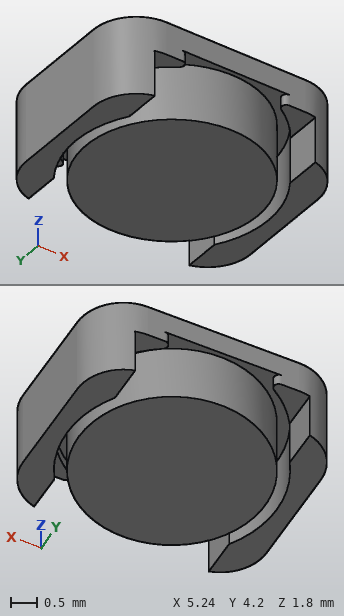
import cadquery as cq

length = 5.24
width = 4.2
height = 1.8
corner_radius = 0.995

core_diameter = 4.0

cavity_radius = 2.25
cover_thickness = 0.51
cavity_height = height - cover_thickness

opening_width = 3.75
lintel_depth = 0.755
opening_height = height - lintel_depth

horn_radius = 0.105


def make_block():
    """Solid block with rounded vertical corners, standing on Z = 0."""
    block = cq.Workplane("XY").box(length, width, height, centered=(True, True, False))
    return block.edges("|Z").fillet(corner_radius)


def make_hollow():
    """Round cavity joined with the opening that runs from front to back."""
    cavity = cq.Workplane("XY").circle(cavity_radius).extrude(cavity_height)
    opening = cq.Workplane("XY").box(opening_width, width, opening_height, centered=(True, True, False))
    return cavity.union(opening)


def horn_selector(side):
    """Box around the two sharp lintel edges on one side; side is -1 (front) or +1 (back)."""
    wall_y = side * width / 2
    half_span = opening_width / 2
    return cq.selectors.BoxSelector(
        (-half_span, wall_y - horn_radius, opening_height),
        (half_span, wall_y + horn_radius, cavity_height),
    )


def make_core():
    """Core that reaches from the base plane up into the cover."""
    return cq.Workplane("XY").circle(core_diameter / 2).extrude(height)


shell = make_block().cut(make_hollow())
for wall_side in (-1, 1):
    shell = shell.edges("|Z").edges(horn_selector(wall_side)).fillet(horn_radius)

result = shell.union(make_core())